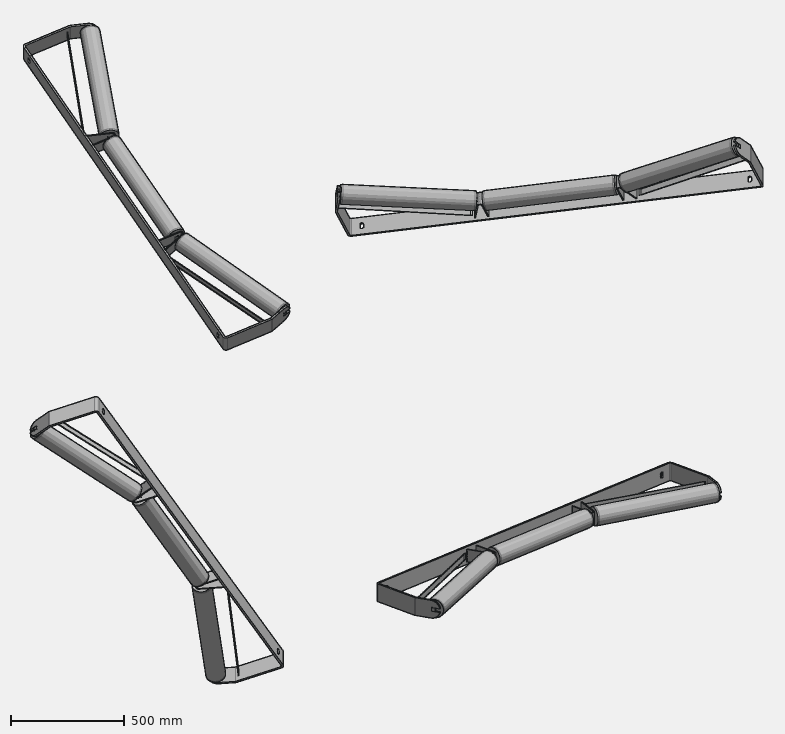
import cadquery as cq
import math


frame_length = 1890.0
frame_width = 85.0
frame_thickness = 10.0
bend_outer_radius = 15.0
arm_end_above_axis = 32.0
trough_angle = 20.0

mount_slot_x = 883.0
mount_slot_width = 17.0
mount_slot_length = 28.0

roller_diameter = 89.0
roller_length = 601.0
roller_end_taper_length = 8.0
roller_end_taper_depth = 1.0
roller_end_gap = 4.0
journal_side = 17.0
centre_roller_y = 102.0
wing_roller_x = 620.0
wing_roller_y = 214.0

bracket_width = 60.0
bracket_thickness = 5.0
bracket_top_y = 129.0
bracket_fold_outer_radius = 10.0

strut_width = 30.0
strut_thickness = 4.0
strut_top_y = 223.0
strut_foot_x = 378.0

half_length = frame_length / 2
inner_half_length = half_length - frame_thickness
bend_inner_radius = bend_outer_radius - frame_thickness
bracket_fold_inner_radius = bracket_fold_outer_radius - bracket_thickness
support_distance = roller_length / 2 + roller_end_gap
bracket_far_distance = support_distance + bracket_thickness
arm_outer_distance = support_distance + frame_thickness
sin_trough = math.sin(math.radians(trough_angle))
cos_trough = math.cos(math.radians(trough_angle))
tan_trough = sin_trough / cos_trough


def wing_point(along, above):
    """XY point measured along and above the wing roller axis, from the middle of that roller."""
    return (
        wing_roller_x + along * cos_trough - above * sin_trough,
        wing_roller_y + along * sin_trough + above * cos_trough,
    )


def crossing_at_x(along, x):
    """Point at the given X on the line square to the wing roller axis."""
    start_x, start_y = wing_point(along, 0)
    return (x, start_y + (start_x - x) / tan_trough)


def crossing_at_y(along, y):
    """Point at the given Y on the line square to the wing roller axis."""
    start_x, start_y = wing_point(along, 0)
    return (start_x + (start_y - y) * tan_trough, y)


def place_on_wing(shape):
    """Move a shape built about the X axis onto the wing roller axis."""
    return shape.rotate((0, 0, 0), (0, 0, 1), trough_angle).translate((wing_roller_x, wing_roller_y, 0))


def place_on_centre(shape):
    """Move a shape built about the X axis onto the centre roller axis."""
    return shape.translate((0, centre_roller_y, 0))


def mirrored(shape):
    """The matching shape on the other side of the plane X = 0."""
    return shape.mirror("YZ")


def make_plate(outline, width):
    """Closed XY outline given thickness along Z, centred on Z = 0."""
    return cq.Workplane("XY", origin=(0, 0, -width / 2)).polyline(outline).close().extrude(width)


def round_corners(plate, corners, radius):
    """Round the plate edges that run along Z through the given XY corners."""
    for x, y in corners:
        plate = plate.edges(cq.NearestToPointSelector((x, y, 0))).fillet(radius)
    return plate


def make_journal(start, end):
    """Square shaft along the X axis."""
    return cq.Workplane("YZ", origin=(start, 0, 0)).rect(journal_side, journal_side).extrude(end - start)


def make_arm_trim():
    """Cutter that rounds the end of the arm and opens the journal seat to that end."""
    half_width = frame_width / 2
    arc_start = arm_end_above_axis - half_width
    clear = arm_end_above_axis + half_width
    arm_face = cq.Workplane("YZ", origin=(support_distance, 0, 0))
    end_rounding = (
        arm_face.moveTo(arc_start, -half_width)
        .threePointArc((arm_end_above_axis, 0), (arc_start, half_width))
        .lineTo(clear, half_width)
        .lineTo(clear, -half_width)
        .close()
        .extrude(frame_thickness)
    )
    seat_bottom = -journal_side / 2
    seat_depth = arm_end_above_axis - seat_bottom
    seat = (
        arm_face.center(seat_bottom + seat_depth / 2, 0)
        .rect(seat_depth, journal_side)
        .extrude(frame_thickness)
    )
    return place_on_wing(end_rounding.union(seat))


def make_frame():
    foot_outer = (half_length, 0)
    foot_inner = (inner_half_length, frame_thickness)
    bend_outer = crossing_at_x(arm_outer_distance, half_length)
    bend_inner = crossing_at_x(support_distance, inner_half_length)
    arm_end_outer = wing_point(arm_outer_distance, arm_end_above_axis)
    arm_end_inner = wing_point(support_distance, arm_end_above_axis)

    right_side = [foot_outer, bend_outer, arm_end_outer, arm_end_inner, bend_inner, foot_inner]
    left_side = [(-x, y) for x, y in reversed(right_side)]
    frame = make_plate(right_side + left_side, frame_width)

    for side in (1, -1):
        outer_corners = [(side * x, y) for x, y in (foot_outer, bend_outer)]
        inner_corners = [(side * x, y) for x, y in (foot_inner, bend_inner)]
        frame = round_corners(frame, outer_corners, bend_outer_radius)
        frame = round_corners(frame, inner_corners, bend_inner_radius)

    arm_trim = make_arm_trim()
    mount_slots = (
        cq.Workplane("XZ")
        .pushPoints([(-mount_slot_x, 0), (mount_slot_x, 0)])
        .slot2D(mount_slot_length, mount_slot_width, 90)
        .extrude(-frame_thickness)
    )
    return frame.cut(arm_trim).cut(mirrored(arm_trim)).cut(mount_slots)


def make_bracket():
    """Folded strip with one leg square to the centre roller and one square to the wing roller."""
    inside_top_y = bracket_top_y - bracket_thickness
    fold_centre = (support_distance, bracket_top_y)
    fold_wing = crossing_at_y(-support_distance, bracket_top_y)
    inside_centre = (bracket_far_distance, inside_top_y)
    inside_wing = crossing_at_y(-bracket_far_distance, inside_top_y)
    outline = [
        (support_distance, frame_thickness),
        fold_centre,
        fold_wing,
        crossing_at_y(-support_distance, frame_thickness),
        crossing_at_y(-bracket_far_distance, frame_thickness),
        inside_wing,
        inside_centre,
        (bracket_far_distance, frame_thickness),
    ]
    bracket = make_plate(outline, bracket_width)
    bracket = round_corners(bracket, [fold_centre, fold_wing], bracket_fold_outer_radius)
    bracket = round_corners(bracket, [inside_centre, inside_wing], bracket_fold_inner_radius)
    centre_hole = place_on_centre(make_journal(support_distance, bracket_far_distance))
    wing_hole = place_on_wing(make_journal(-bracket_far_distance, -support_distance))
    return bracket.cut(centre_hole).cut(wing_hole)


def make_strut():
    """Sloping flat bar whose ends are cut to lie on the frame bar and the upright."""
    slope = math.atan2(strut_top_y - frame_thickness, inner_half_length - strut_foot_x)
    outline = [
        (strut_foot_x, frame_thickness),
        (strut_foot_x + strut_thickness / math.sin(slope), frame_thickness),
        (inner_half_length, strut_top_y - strut_thickness / math.cos(slope)),
        (inner_half_length, strut_top_y),
    ]
    return make_plate(outline, strut_width)


def make_roller(journal_start, journal_end):
    """Roller along the X axis with slightly tapered ends and a journal right through it."""
    body = (
        cq.Workplane("YZ", origin=(-roller_length / 2, 0, 0))
        .circle(roller_diameter / 2)
        .extrude(roller_length)
        .faces("<X or >X")
        .chamfer(roller_end_taper_length, roller_end_taper_depth)
    )
    return body.union(make_journal(journal_start, journal_end))


frame = make_frame()
bracket = make_bracket()
strut = make_strut()
centre_roller = place_on_centre(make_roller(-bracket_far_distance, bracket_far_distance))
wing_roller = place_on_wing(make_roller(-bracket_far_distance, arm_outer_distance))

bodies = [frame, centre_roller]
for paired_body in (bracket, strut, wing_roller):
    bodies += [paired_body, mirrored(paired_body)]

result = cq.Compound.makeCompound([body.val() for body in bodies])